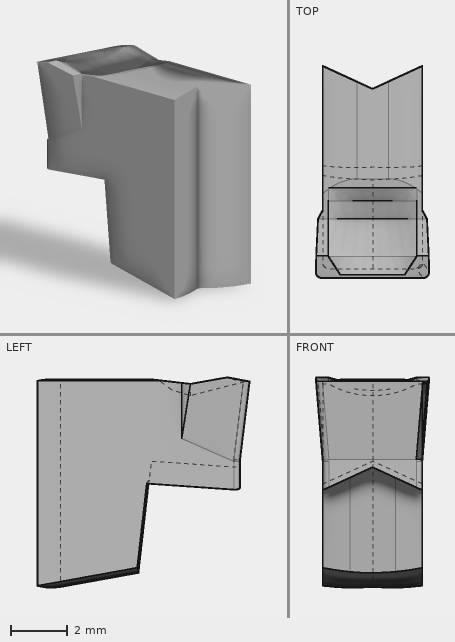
import cadquery as cq

BODY_HALF_WIDTH = 1.77
LENGTH = 7.53
V_DEPTH = 0.81
OVERSIZE = 11.295

FRONT_TOP_Z = 7.32
HEAD_PEAK_Y, HEAD_PEAK_Z = 0.79, 7.47
SADDLE_Y, SADDLE_Z = 2.1, 7.24
CROWN_START_Y, CROWN_Z = 3.53, 7.4
LOWER_FRONT_Y, LOWER_FRONT_TOP_Z = 0.34, 4.555

CROWN_FLAT_HALF_WIDTH = 0.565
CROWN_DROP = 0.06

UNDERSIDE_FRONT_Z = 3.465
UNDERSIDE_SLOPE = 0.07
LEG_TOP_Y, LEG_TOP_Z = 3.65, 3.69
LEG_BOTTOM_Y, LEG_BOTTOM_Z = 3.99, 0.715
LEG_BULGE = 0.07
LEG_FLAT_HALF_WIDTH = 0.81
BACK_BOTTOM_Z = 0.075
SOLE_SAG = 0.19

FLARE_BACK_Y, FLARE_BACK_Z = 2.41, 5.3
FLARE_SLOPE = 0.44
FLARE_LEAN = 0.08
HEAD_BASE_Z = 4.43
CORNER_RADIUS = 0.225
SHORTEST_CORNER = 0.075

DISH_HALF_WIDTH = 1.57
DISH_FRONT_HALF_WIDTH = 1.145
DISH_FRONT_Y, DISH_CORNER_Y, DISH_BACK_Y = 0.13, 0.775, 3.21
DISH_WALL_Y = 2.75
DISH_EDGE_DEPTH = 0.015
DISH_CORNER_DEPTH = 0.3
DISH_SADDLE_DEPTH = 0.415
DISH_WALL_DEPTH = 0.3


def top_line_z(y, start, end):
    """Height at y on the straight side-view line through two (y, z) points."""
    return start[1] + (y - start[0]) * (end[1] - start[1]) / (end[0] - start[0])


SADDLE = (SADDLE_Y, SADDLE_Z)
PEAK = (HEAD_PEAK_Y, HEAD_PEAK_Z)
FRONT_TOP = (0, FRONT_TOP_Z)
CROWN_START = (CROWN_START_Y, CROWN_Z)


def side_prism(points):
    """Extrude a closed (y, z) outline equally to both sides of the middle plane."""
    return cq.Workplane("YZ").polyline(points).close().extrude(OVERSIZE, both=True)


def upper_outline():
    return side_prism([
        FRONT_TOP, PEAK, SADDLE, CROWN_START, (LENGTH, CROWN_Z),
        (LENGTH, -LENGTH), (LOWER_FRONT_Y, -LENGTH), (LOWER_FRONT_Y, LOWER_FRONT_TOP_Z),
    ])


def round_front_corners(solid):
    """Round the upright corners where the front faces meet the sides."""
    corners = [
        edge for edge in solid.edges().vals()
        if edge.BoundingBox().ymax < LOWER_FRONT_Y + 0.01
        and edge.BoundingBox().zlen > SHORTEST_CORNER
    ]
    return solid.newObject(corners).fillet(CORNER_RADIUS)


def body_block():
    """Straight-sided block with the V-shaped back."""
    plan = (
        cq.Workplane("XY").workplane(offset=-OVERSIZE)
        .polyline([
            (-BODY_HALF_WIDTH, 0), (BODY_HALF_WIDTH, 0), (BODY_HALF_WIDTH, LENGTH),
            (0, LENGTH - V_DEPTH), (-BODY_HALF_WIDTH, LENGTH),
        ]).close().extrude(2 * OVERSIZE)
    )
    return round_front_corners(plan.intersect(upper_outline()))


def crown_trim():
    """Material above the crown's rounded shoulders, behind the saddle."""
    trim = cq.Workplane("XY")
    for side in (-1, 1):
        shoulder = (
            cq.Workplane("XZ", origin=(0, SADDLE_Y, 0))
            .moveTo(0, CROWN_Z).lineTo(side * CROWN_FLAT_HALF_WIDTH, CROWN_Z)
            .tangentArcPoint((side * BODY_HALF_WIDTH, CROWN_Z - CROWN_DROP), relative=False)
            .lineTo(side * BODY_HALF_WIDTH, LENGTH).lineTo(0, LENGTH).close()
            .extrude(-LENGTH)
        )
        trim = trim.add(shoulder)
    return trim.combine()


def space_under_overhang():
    """V-roofed space below the overhang, running along the sloping underside."""
    plane = cq.Plane(
        origin=(0, LOWER_FRONT_Y, UNDERSIDE_FRONT_Z), xDir=(1, 0, 0),
        normal=(0, -1, -UNDERSIDE_SLOPE),
    )
    return (
        cq.Workplane(plane)
        .polyline([
            (-BODY_HALF_WIDTH, 0), (0, V_DEPTH), (BODY_HALF_WIDTH, 0),
            (BODY_HALF_WIDTH, -LENGTH), (-BODY_HALF_WIDTH, -LENGTH),
        ]).close().extrude(OVERSIZE, both=True)
    )


def leg_envelope():
    """Leaning leg with a bulged front."""
    lean = (LEG_BOTTOM_Y - LEG_TOP_Y) / (LEG_TOP_Z - LEG_BOTTOM_Z)
    plane = cq.Plane(
        origin=(0, LEG_TOP_Y, LEG_TOP_Z), xDir=(1, 0, 0), normal=(0, -lean, 1),
    )
    right_half = (
        cq.Workplane(plane)
        .moveTo(0, -LEG_BULGE).lineTo(LEG_FLAT_HALF_WIDTH, -LEG_BULGE)
        .tangentArcPoint((BODY_HALF_WIDTH, 0), relative=False)
        .lineTo(BODY_HALF_WIDTH, LENGTH).lineTo(0, LENGTH).close()
        .extrude(OVERSIZE, both=True)
    )
    return right_half.union(right_half.mirror("YZ"))


def sole_envelope():
    """Everything above the rounded sole, which drops toward the back."""
    slope = (BACK_BOTTOM_Z - LEG_BOTTOM_Z) / (LENGTH - LEG_BOTTOM_Y)
    plane = cq.Plane(
        origin=(0, LENGTH, BACK_BOTTOM_Z), xDir=(1, 0, 0), normal=(0, -1, -slope),
    )
    return (
        cq.Workplane(plane)
        .moveTo(-BODY_HALF_WIDTH, 0)
        .threePointArc((0, -SOLE_SAG), (BODY_HALF_WIDTH, 0))
        .lineTo(BODY_HALF_WIDTH, OVERSIZE).lineTo(-BODY_HALF_WIDTH, OVERSIZE).close()
        .extrude(OVERSIZE, both=True)
    )


def flared_head():
    """Head whose leaning sides spread toward the top and front."""
    saddle_half_width = BODY_HALF_WIDTH + FLARE_LEAN * (
        SADDLE_Z - FLARE_BACK_Z + FLARE_SLOPE * (FLARE_BACK_Y - SADDLE_Y)
    )
    back_spread = (saddle_half_width - BODY_HALF_WIDTH) / (FLARE_BACK_Y - SADDLE_Y)
    front_half_width = BODY_HALF_WIDTH + back_spread * FLARE_BACK_Y
    head = (
        cq.Workplane("XY").workplane(offset=HEAD_BASE_Z)
        .polyline([
            (-front_half_width, 0), (front_half_width, 0), (BODY_HALF_WIDTH, FLARE_BACK_Y),
            (-BODY_HALF_WIDTH, FLARE_BACK_Y),
        ]).close().extrude(LENGTH)
        .intersect(upper_outline())
    )
    for side in (-1, 1):
        side_plane = cq.Plane(
            origin=(side * BODY_HALF_WIDTH, FLARE_BACK_Y, FLARE_BACK_Z),
            xDir=(0, 1, FLARE_SLOPE),
            normal=(side, FLARE_LEAN * FLARE_SLOPE, -FLARE_LEAN),
        )
        head = head.cut(cq.Workplane(side_plane).rect(OVERSIZE, OVERSIZE).extrude(OVERSIZE))
    return round_front_corners(head)


def dish():
    """Hollow lofted straight between sagging arcs, trimmed to the rim outline."""
    rim = (
        cq.Workplane("XY")
        .polyline([
            (-DISH_FRONT_HALF_WIDTH, DISH_FRONT_Y), (DISH_FRONT_HALF_WIDTH, DISH_FRONT_Y),
            (DISH_HALF_WIDTH, DISH_CORNER_Y), (DISH_HALF_WIDTH, DISH_BACK_Y),
            (-DISH_HALF_WIDTH, DISH_BACK_Y), (-DISH_HALF_WIDTH, DISH_CORNER_Y),
        ]).close().extrude(OVERSIZE)
    )
    sections = [
        (DISH_FRONT_Y, top_line_z(DISH_FRONT_Y, FRONT_TOP, PEAK), DISH_EDGE_DEPTH),
        (DISH_CORNER_Y, top_line_z(DISH_CORNER_Y, FRONT_TOP, PEAK), DISH_CORNER_DEPTH),
        (SADDLE_Y, SADDLE_Z, DISH_SADDLE_DEPTH),
        (DISH_WALL_Y, top_line_z(DISH_WALL_Y, SADDLE, CROWN_START), DISH_WALL_DEPTH),
        (DISH_BACK_Y, top_line_z(DISH_BACK_Y, SADDLE, CROWN_START), DISH_EDGE_DEPTH),
    ]
    wires = []
    for y, rim_z, depth in sections:
        section = (
            cq.Workplane("XZ", origin=(0, y, 0))
            .moveTo(-DISH_HALF_WIDTH, rim_z)
            .threePointArc((0, rim_z - depth), (DISH_HALF_WIDTH, rim_z))
            .lineTo(DISH_HALF_WIDTH, OVERSIZE).lineTo(-DISH_HALF_WIDTH, OVERSIZE).close()
        )
        wires.append(section.val())
    return rim.intersect(cq.Workplane(cq.Solid.makeLoft(wires, True)))


block = body_block().cut(crown_trim()).intersect(sole_envelope())
overhang = block.cut(space_under_overhang())
leg = block.intersect(leg_envelope())
result = overhang.union(leg).union(flared_head()).cut(dish())